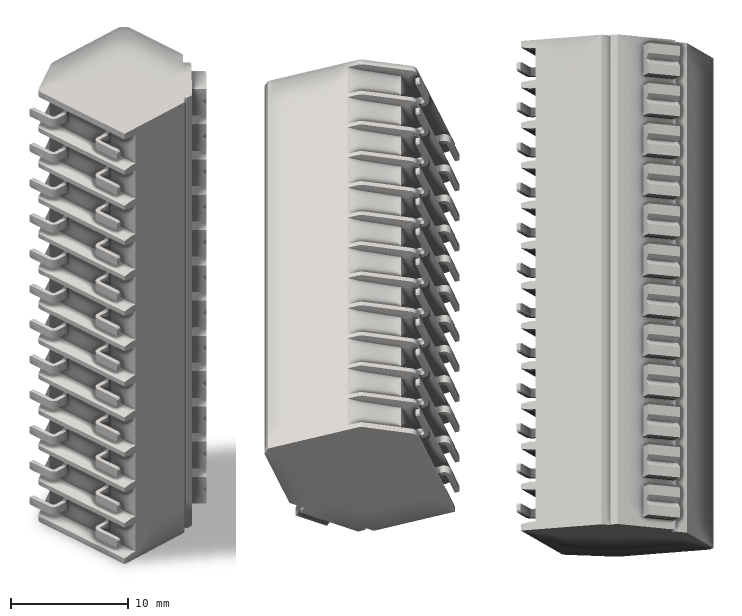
import cadquery as cq
import math


pole_count = 12
pitch = 3.5
block_height = 42.7
end_margin = (block_height - pole_count * pitch) / 2

body_width = 12.7
overall_depth = 13.82
body_front = 0.53
body_back = 13.52
back_chamfer = 0.5
back_edge_end = 7.05
notch_point = (8.0, 12.53)
slope_start = (8.5, 13.02)
slope_end_x = 12.35
hook_bottom_y = 8.55
hook_root = (12.17, 8.4)
side_top_y = 7.87
slant_angle = math.radians(60)
slant_top_y = 4.67
slant_front_x = (slant_top_y - body_front) / math.tan(slant_angle)
slant_top_radius = 1.0
slant_front_radius = 0.6

floor_y = 1.86
floor_corner_x = 2.47
recess_top_y = 5.86
recess_overrun = 1.0
rib_edge_thickness = 0.42
rib_flank_growth = 0.14
rib_flank_depth = 0.8

lever_start_offset = 0.1
lever_start = (slope_start[0] + lever_start_offset, slope_start[1] - lever_start_offset)
lever_length = 2.98
lever_rise = (overall_depth - lever_start[1]) * math.sqrt(2)
lever_embed = 0.3
lever_width = 2.64
groove_width = 0.9
groove_depth = 0.45

leg_width = 0.77
leg_thickness = 0.38
leg_length = 2.9
bend_radius = 0.6
leg_root_width = 1.45
leg_neck_y = 1.45
leg_embed = 0.5
leg_tip_chamfer = 0.13
left_leg_heel_x = 4.8
right_leg_heel_x = 9.43


def pole_z(index):
    return end_margin + (index + 0.5) * pitch


def make_body():
    slope_drop = slope_end_x - slope_start[0]
    outline = [
        (0, slant_top_y),
        (0, body_back - back_chamfer),
        (back_chamfer, body_back),
        (back_edge_end, body_back),
        notch_point,
        slope_start,
        (slope_end_x, slope_start[1] - slope_drop),
        (slope_end_x, hook_bottom_y),
        hook_root,
        (body_width, side_top_y),
        (body_width, body_front),
        (slant_front_x, body_front),
    ]
    body = cq.Workplane("XY").polyline(outline).close().extrude(block_height)
    top_corner = cq.selectors.NearestToPointSelector((0, slant_top_y, block_height / 2))
    front_corner = cq.selectors.NearestToPointSelector((slant_front_x, body_front, block_height / 2))
    body = body.edges(top_corner).fillet(slant_top_radius)
    return body.edges(front_corner).fillet(slant_front_radius)


def rib_outline(inset):
    """Left, slanted and front edges of a rib moved inwards, closed outside the recess."""
    front_turn = slant_angle
    top_turn = math.pi / 2 - slant_angle
    return [
        (inset, body_back),
        (inset, slant_top_y + inset * math.tan(top_turn / 2)),
        (slant_front_x + inset * math.tan(front_turn / 2), body_front + inset),
        (body_width + recess_overrun, body_front + inset),
        (body_width + recess_overrun, body_back),
    ]


def make_rib_flank(z_edge, direction):
    """Bevelled side of a rib; direction is the sense along Z in which it narrows inwards."""
    return (
        cq.Workplane("XY", origin=(0, 0, z_edge))
        .polyline(rib_outline(0))
        .close()
        .workplane(offset=direction * rib_flank_growth)
        .polyline(rib_outline(rib_flank_depth))
        .close()
        .loft(ruled=True)
    )


def make_recess(z_center):
    """Cutter that clears the front and the slanted corner between two bevelled ribs."""
    height = pitch - rib_edge_thickness
    z_low = z_center - height / 2
    z_high = z_center + height / 2
    floor = [
        (body_width + recess_overrun, floor_y),
        (floor_corner_x, floor_y),
        (0, recess_top_y),
        (-recess_overrun, recess_top_y),
        (-recess_overrun, body_front - recess_overrun),
        (body_width + recess_overrun, body_front - recess_overrun),
    ]
    opening = cq.Workplane("XY", origin=(0, 0, z_low)).polyline(floor).close().extrude(height)
    return opening.cut(make_rib_flank(z_low, 1)).cut(make_rib_flank(z_high, -1))


def make_lever(z_center):
    """Rectangular lever across the slope, with a V groove along its length."""
    plane = cq.Plane(
        origin=(lever_start[0], lever_start[1], z_center),
        xDir=(0, 0, -1),
        normal=(1, -1, 0),
    )
    half = lever_width / 2
    section = [
        (-half, -lever_embed),
        (-half, lever_rise),
        (-groove_width / 2, lever_rise),
        (0, lever_rise - groove_depth),
        (groove_width / 2, lever_rise),
        (half, lever_rise),
        (half, -lever_embed),
    ]
    return cq.Workplane(plane).polyline(section).close().extrude(lever_length)


def make_leg(heel_x, direction, z_center):
    """Bent solder leg; direction is the sense along X in which its foot points."""
    root_y = floor_y + leg_embed
    inner_radius = bend_radius - leg_thickness
    bend_x = heel_x + direction * bend_radius
    inner_x = heel_x + direction * leg_thickness
    tip_x = heel_x + direction * leg_length
    diagonal = math.sqrt(0.5)
    side = (
        cq.Workplane("XY", origin=(0, 0, z_center - leg_root_width / 2))
        .moveTo(heel_x, root_y)
        .lineTo(heel_x, bend_radius)
        .threePointArc(
            (bend_x - direction * bend_radius * diagonal, bend_radius * (1 - diagonal)),
            (bend_x, 0),
        )
        .lineTo(tip_x, 0)
        .lineTo(tip_x, leg_thickness)
        .lineTo(bend_x, leg_thickness)
        .threePointArc(
            (bend_x - direction * inner_radius * diagonal, bend_radius - inner_radius * diagonal),
            (inner_x, bend_radius),
        )
        .lineTo(inner_x, root_y)
        .close()
        .extrude(leg_root_width)
    )
    low, high = sorted((heel_x, tip_x))
    half = leg_width / 2
    root_half = leg_root_width / 2
    width_profile = [
        (-half, 0),
        (-half, leg_neck_y),
        (-root_half, floor_y),
        (-root_half, root_y),
        (root_half, root_y),
        (root_half, floor_y),
        (half, leg_neck_y),
        (half, 0),
    ]
    tapered = (
        cq.Workplane(cq.Plane(origin=(low, 0, z_center), xDir=(0, 0, -1), normal=(1, 0, 0)))
        .polyline(width_profile)
        .close()
        .extrude(high - low)
    )
    tip_edges = cq.selectors.BoxSelector(
        (tip_x - leg_tip_chamfer, -leg_thickness, z_center - leg_width),
        (tip_x + leg_tip_chamfer, 2 * leg_thickness, z_center + leg_width),
    )
    return side.intersect(tapered).edges("|Y").edges(tip_edges).chamfer(leg_tip_chamfer)


def at_every_pole(make_feature):
    features = [make_feature(pole_z(index)).val() for index in range(pole_count)]
    return cq.Workplane(cq.Compound.makeCompound(features))


def make_left_leg(z_center):
    return make_leg(left_leg_heel_x, -1, z_center)


def make_right_leg(z_center):
    return make_leg(right_leg_heel_x, 1, z_center)


result = make_body().cut(at_every_pole(make_recess))
for make_feature in (make_lever, make_left_leg, make_right_leg):
    result = result.union(at_every_pole(make_feature))